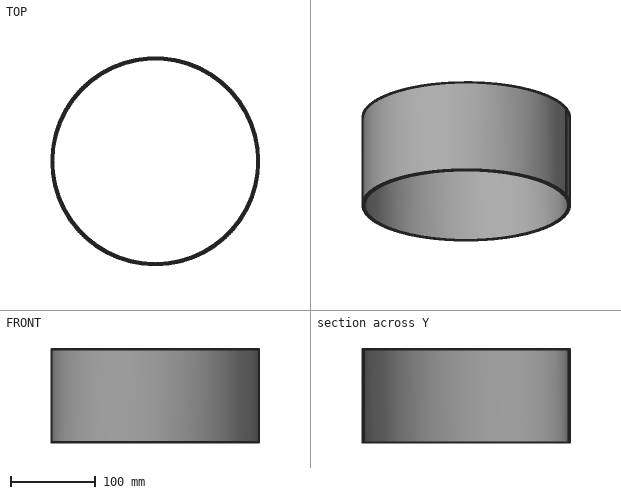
import cadquery as cq

outer_diameter = 245.0
wall = 2.2
height = 110.0
rim_chamfer = 0.5
slit_width = 2.2

outer_radius = outer_diameter / 2
inner_radius = outer_radius - wall
slit_cutter_length = 4 * wall

outer_cylinder = cq.Workplane("XY").circle(outer_radius).extrude(height)
chamfered_cylinder = outer_cylinder.faces("<Z or >Z").edges().chamfer(rim_chamfer)
bore = cq.Workplane("XY").circle(inner_radius).extrude(height)
band = chamfered_cylinder.cut(bore)

slit = (
    cq.Workplane("XY")
    .center(-outer_radius, slit_width / 2)
    .rect(slit_cutter_length, slit_width)
    .extrude(height)
)

result = band.cut(slit)